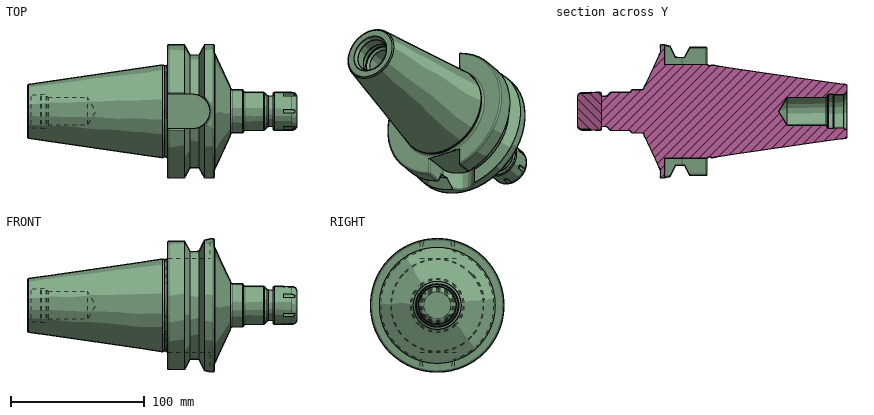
import cadquery as cq
import math


TAPER_LENGTH = 101.8
GAUGE_RADIUS = 34.925
TAPER_PER_SIDE = 7 / 48
SHANK_END_CHAMFER = 0.8
RELIEF_START_X = -0.8
RELIEF_RADIUS = 34.3
RELIEF_RAMP = 1.4
RELIEF_FILLET = 1.2

FLANGE_BACK_X = 3.0
FLANGE_FRONT_X = 38.0
FLANGE_RADIUS = 50.0
FLANGE_FILLET = 1.0
REAR_RIM_END_X = 15.7
GROOVE_START_X = 19.9
GROOVE_END_X = 26.6
GROOVE_RADIUS = 42.3
FRONT_RIM_START_X = 30.8

SLOT_WIDTH = 25.7
SLOT_FLOOR_HEIGHT = 35.1
SLOT_END_X = 34.7
SLOT_OVERRUN = 1.0

CONE_BASE_X = 38.4
CONE_BASE_RADIUS = 43.4
CONE_TIP_X = 50.2
CONE_TIP_RADIUS = 18.0
COLLAR_RADIUS = 16.2
COLLAR_ROOT_FILLET = 1.5
COLLAR_END_X = 59.9
COLLAR_END_CHAMFER = 0.65
BARREL_RADIUS = 14.4
BARREL_ROOT_FILLET = 1.1
BARREL_END_X = 74.8
BARREL_EDGE_X = 75.6
BARREL_EDGE_RADIUS = 14.0
NECK_CONE_END_X = 77.5
NECK_CONE_END_RADIUS = 11.9
NECK_START_X = 78.6
NECK_RADIUS = 11.5

NUT_START_X = 82.0
NUT_END_X = 100.0
NUT_RADIUS = 14.3
NUT_BACK_CHAMFER_LENGTH = 1.0
NUT_BACK_CHAMFER_HEIGHT = 0.6
NUT_NOSE_FILLET = 4.2
NUT_GROOVE_COUNT = 6
NUT_GROOVE_START_X = 89.9
NUT_GROOVE_CUTTER_RADIUS = 1.6
NUT_GROOVE_FLOOR_RADIUS = 13.4

MOUTH_RADIUS = 14.4
MOUTH_CHAMFER = 0.4
MOUTH_CONE_DEPTH = 2.3
PILOT_CHAMFER = 0.3
PILOT_RADIUS = 12.4
PILOT_DEPTH = 10.0
RECESS_END_DEPTH = 14.6
RECESS_RADIUS = 12.7
RECESS_SIDE_LENGTH = 0.7
THREAD_START_DEPTH = 15.8
THREAD_RADIUS = 10.3
THREAD_DEPTH = 45.0
DRILL_TIP_HALF_ANGLE = 59.0

TOLERANCE = 0.01


def taper_radius(x):
    return GAUGE_RADIUS + x * TAPER_PER_SIDE


def revolve_about_x(outline):
    return outline.close().revolve(360, (0, 0, 0), (1, 0, 0))


def holder_blank():
    shank_end_x = -TAPER_LENGTH
    chamfer_end_x = shank_end_x + SHANK_END_CHAMFER
    outline = (
        cq.Workplane("XY")
        .moveTo(shank_end_x, 0)
        .lineTo(shank_end_x, taper_radius(shank_end_x) - SHANK_END_CHAMFER)
        .lineTo(chamfer_end_x, taper_radius(chamfer_end_x))
        .lineTo(RELIEF_START_X, taper_radius(RELIEF_START_X))
        .lineTo(RELIEF_START_X + RELIEF_RAMP, RELIEF_RADIUS)
        .lineTo(FLANGE_BACK_X - RELIEF_FILLET, RELIEF_RADIUS)
        .radiusArc((FLANGE_BACK_X, RELIEF_RADIUS + RELIEF_FILLET), -RELIEF_FILLET)
        .lineTo(FLANGE_BACK_X, FLANGE_RADIUS)
        .lineTo(REAR_RIM_END_X, FLANGE_RADIUS)
        .lineTo(GROOVE_START_X, GROOVE_RADIUS)
        .lineTo(GROOVE_END_X, GROOVE_RADIUS)
        .lineTo(FRONT_RIM_START_X, FLANGE_RADIUS)
        .lineTo(FLANGE_FRONT_X, FLANGE_RADIUS)
        .lineTo(FLANGE_FRONT_X, CONE_BASE_RADIUS)
        .lineTo(CONE_BASE_X, CONE_BASE_RADIUS)
        .lineTo(CONE_TIP_X, CONE_TIP_RADIUS)
        .lineTo(CONE_TIP_X, COLLAR_RADIUS + COLLAR_ROOT_FILLET)
        .radiusArc((CONE_TIP_X + COLLAR_ROOT_FILLET, COLLAR_RADIUS), -COLLAR_ROOT_FILLET)
        .lineTo(COLLAR_END_X - COLLAR_END_CHAMFER, COLLAR_RADIUS)
        .lineTo(COLLAR_END_X, COLLAR_RADIUS - COLLAR_END_CHAMFER)
        .lineTo(COLLAR_END_X, BARREL_RADIUS + BARREL_ROOT_FILLET)
        .radiusArc((COLLAR_END_X + BARREL_ROOT_FILLET, BARREL_RADIUS), -BARREL_ROOT_FILLET)
        .lineTo(BARREL_END_X, BARREL_RADIUS)
        .lineTo(BARREL_EDGE_X, BARREL_EDGE_RADIUS)
        .lineTo(NECK_CONE_END_X, NECK_CONE_END_RADIUS)
        .lineTo(NECK_START_X, NECK_RADIUS)
        .lineTo(NUT_START_X, NECK_RADIUS)
        .lineTo(NUT_START_X, 0)
    )
    return revolve_about_x(outline)


def drawbar_bore():
    mouth_x = -TAPER_LENGTH
    cone_start_x = mouth_x + MOUTH_CHAMFER
    cone_end_x = mouth_x + MOUTH_CONE_DEPTH
    recess_start_x = mouth_x + PILOT_DEPTH
    recess_end_x = mouth_x + RECESS_END_DEPTH
    thread_end_x = mouth_x + THREAD_DEPTH
    tip_length = THREAD_RADIUS / math.tan(math.radians(DRILL_TIP_HALF_ANGLE))
    outline = (
        cq.Workplane("XY")
        .moveTo(mouth_x, 0)
        .lineTo(mouth_x, MOUTH_RADIUS)
        .lineTo(cone_start_x, MOUTH_RADIUS - MOUTH_CHAMFER)
        .lineTo(cone_end_x, PILOT_RADIUS + PILOT_CHAMFER)
        .lineTo(cone_end_x + PILOT_CHAMFER, PILOT_RADIUS)
        .lineTo(recess_start_x, PILOT_RADIUS)
        .lineTo(recess_start_x + RECESS_SIDE_LENGTH, RECESS_RADIUS)
        .lineTo(recess_end_x - RECESS_SIDE_LENGTH, RECESS_RADIUS)
        .lineTo(recess_end_x, PILOT_RADIUS)
        .lineTo(mouth_x + THREAD_START_DEPTH, THREAD_RADIUS)
        .lineTo(thread_end_x, THREAD_RADIUS)
        .lineTo(thread_end_x + tip_length, 0)
    )
    return revolve_about_x(outline)


def drive_slot(angle):
    half_width = SLOT_WIDTH / 2
    start_x = FLANGE_BACK_X - SLOT_OVERRUN
    arc_center_x = SLOT_END_X - half_width
    slot = (
        cq.Workplane("XY", origin=(0, 0, SLOT_FLOOR_HEIGHT))
        .moveTo(start_x, -half_width)
        .lineTo(arc_center_x, -half_width)
        .threePointArc((SLOT_END_X, 0), (arc_center_x, half_width))
        .lineTo(start_x, half_width)
        .close()
        .extrude(FLANGE_RADIUS - SLOT_FLOOR_HEIGHT + SLOT_OVERRUN)
    )
    return slot.rotate((0, 0, 0), (1, 0, 0), angle)


def near(value, target):
    return abs(value - target) < TOLERANCE


def on_flange_rim(edge):
    """True for the outer circles of the two end faces and for the mouths of the drive slots."""
    points = [edge.positionAt(fraction) for fraction in (0, 0.25, 0.5, 0.75, 1)]
    if not all(near(math.hypot(point.y, point.z), FLANGE_RADIUS) for point in points):
        return False
    center = edge.Center()
    if edge.geomType() == "CIRCLE":
        return near(center.x, FLANGE_BACK_X) or near(center.x, FLANGE_FRONT_X)
    return abs(center.y) < SLOT_WIDTH / 2 + TOLERANCE


def on_slot_entry(edge):
    """True for the upright edges where the slot walls meet the rear face of the flange."""
    center = edge.Center()
    return (
        edge.geomType() == "LINE"
        and near(center.x, FLANGE_BACK_X)
        and near(abs(center.y), SLOT_WIDTH / 2)
    )


def round_flange(body):
    edges = [edge for edge in body.edges().vals() if on_flange_rim(edge) or on_slot_entry(edge)]
    return body.newObject(edges).fillet(FLANGE_FILLET)


def collet_nut():
    outline = (
        cq.Workplane("XY")
        .moveTo(NUT_START_X, 0)
        .lineTo(NUT_START_X, NUT_RADIUS - NUT_BACK_CHAMFER_HEIGHT)
        .lineTo(NUT_START_X + NUT_BACK_CHAMFER_LENGTH, NUT_RADIUS)
        .lineTo(NUT_END_X - NUT_NOSE_FILLET, NUT_RADIUS)
        .radiusArc((NUT_END_X, NUT_RADIUS - NUT_NOSE_FILLET), NUT_NOSE_FILLET)
        .lineTo(NUT_END_X, 0)
    )
    return revolve_about_x(outline)


def nut_groove(angle):
    cutter_height = NUT_GROOVE_FLOOR_RADIUS + NUT_GROOVE_CUTTER_RADIUS
    cutter = (
        cq.Workplane("YZ", origin=(NUT_GROOVE_START_X, 0, cutter_height))
        .circle(NUT_GROOVE_CUTTER_RADIUS)
        .extrude(NUT_END_X - NUT_GROOVE_START_X)
    )
    return cutter.rotate((0, 0, 0), (1, 0, 0), angle)


holder = holder_blank()
for slot_angle in (0, 180):
    holder = holder.cut(drive_slot(slot_angle))
holder = round_flange(holder)
holder = holder.cut(drawbar_bore())

nut = collet_nut()
for index in range(NUT_GROOVE_COUNT):
    nut = nut.cut(nut_groove(index * 360 / NUT_GROOVE_COUNT))

result = cq.Compound.makeCompound([holder.val(), nut.val()])